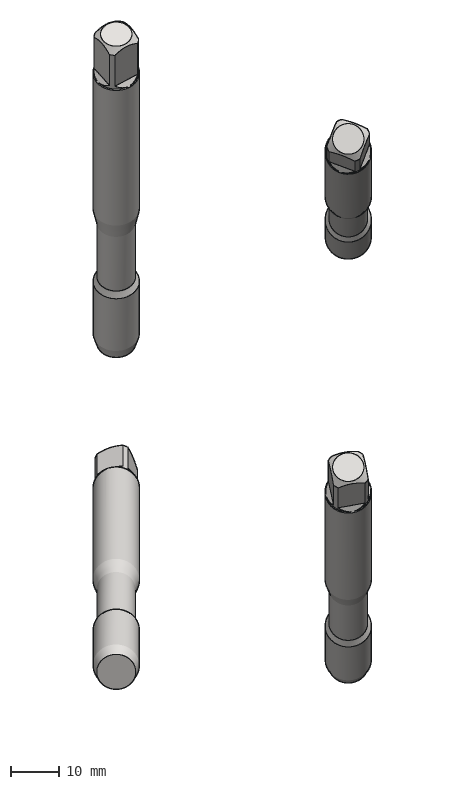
import cadquery as cq

overall_length = 100.1
shank_diameter = 9.68
neck_diameter = 8.08
head_diameter = 9.62

lead_bottom = 0.3
lead_top = 3.0
head_shoulder_bottom = 20.0
head_shoulder_top = 21.25
head_top = 21.6
neck_top = 39.1
shank_bottom = 43.7
shank_edge = 87.65

lead_end_diameter = 8.3
shoulder_end_diameter = 8.25

square_width = 7.35
square_corner_diameter = 9.29
square_top_diameter = 6.5
square_top_chamfer = 1.3
flat_bottom = 88.8

shank_bevel = (shank_diameter - square_corner_diameter) / 2
square_bottom = shank_edge + shank_bevel

flat_count = 4


def revolve_profile(points):
    """Revolve a closed (radius, height) profile about the Z axis."""
    return cq.Workplane("XZ").polyline(points).close().revolve(360, (0, 0), (0, 1))


def flat_cutter():
    """Block that mills one flat on the -Y side of the square, with a 45 degree run-out below it."""
    flat_y = -square_width / 2
    outside_y = -shank_diameter
    runout_drop = flat_y - outside_y
    return (
        cq.Workplane("YZ")
        .polyline([
            (flat_y, overall_length),
            (flat_y, flat_bottom),
            (outside_y, flat_bottom - runout_drop),
            (outside_y, overall_length),
        ])
        .close()
        .extrude(shank_diameter, both=True)
    )


def make_shank():
    """Neck, taper, cylindrical shank and square drive."""
    body = revolve_profile([
        (0, head_top),
        (neck_diameter / 2, head_top),
        (neck_diameter / 2, neck_top),
        (shank_diameter / 2, shank_bottom),
        (shank_diameter / 2, shank_edge),
        (square_corner_diameter / 2, square_bottom),
        (square_corner_diameter / 2, overall_length - square_top_chamfer),
        (square_top_diameter / 2, overall_length),
        (0, overall_length),
    ])
    for side in range(flat_count):
        angle = side * 360 / flat_count
        body = body.cut(flat_cutter().rotate((0, 0, 0), (0, 0, 1), angle))
    return body


def make_head():
    """Cylindrical head with a lead taper below, a shoulder above and a small bevel at each end."""
    return revolve_profile([
        (0, 0),
        (neck_diameter / 2, 0),
        (lead_end_diameter / 2, lead_bottom),
        (head_diameter / 2, lead_top),
        (head_diameter / 2, head_shoulder_bottom),
        (shoulder_end_diameter / 2, head_shoulder_top),
        (neck_diameter / 2, head_top),
        (0, head_top),
    ])


shank = make_shank()
head = make_head()
result = cq.Compound.makeCompound([shank.val(), head.val()])